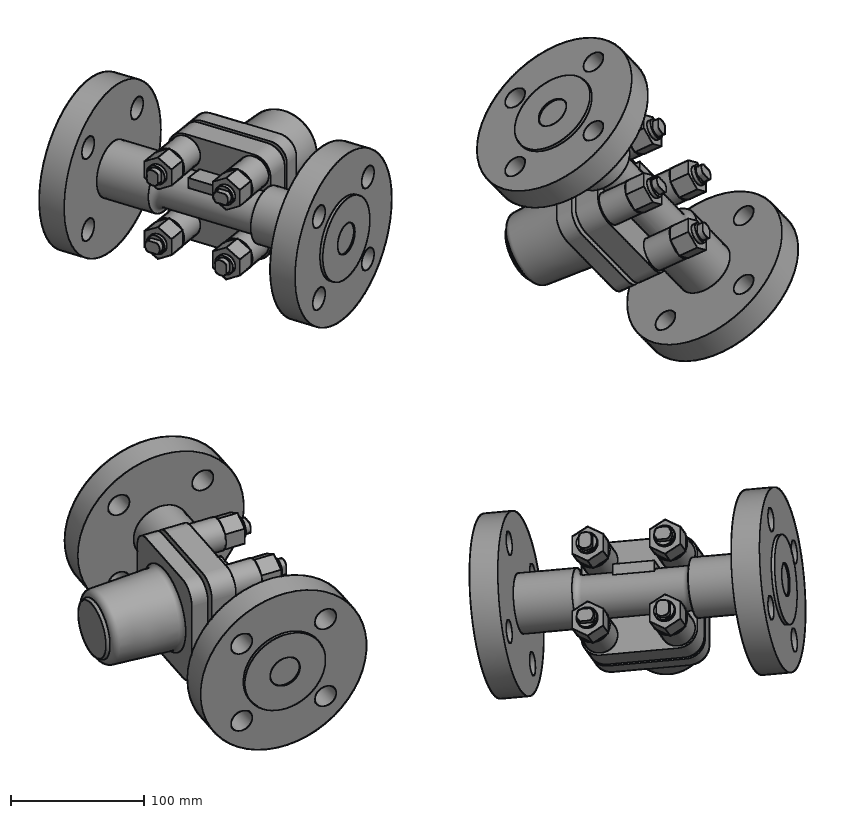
import cadquery as cq
import math


total_length = 230.0
flange_diameter = 140.0
flange_thickness = 22.0
raised_face_diameter = 68.0
raised_face_height = 2.5
bolt_circle_diameter = 100.0
flange_hole_diameter = 18.0
port_diameter = 25.0
port_depth = 1.2
pipe_diameter = 46.0

plate_size = 90.0
bolt_pitch = 60.0
plate_corner_radius = (plate_size - bolt_pitch) / 2
body_front_y = 5.8
body_back_y = 26.0
bonnet_front_y = 29.5
bonnet_back_y = 43.0
diaphragm_diameter = 64.9

channel_radius = 17.0
channel_flare_radius = 5.0

pad_length = 32.2
pad_top_z = 20.0
pad_front_y = -12.6
pad_back_y = 3.2

boss_diameter = 26.5
boss_end_y = -17.5
nut_across_flats = 24.0
nut_end_y = -33.8
stud_diameter = 15.9
stud_end_y = -37.0
tip_diameter = 12.9
tip_across_flats = 9.7
tip_corner_radius = 2.3
tip_end_y = -41.9

cap_base_radius = 35.0
cap_foot_radius = 32.5
cap_foot_y = 47.5
cap_shoulder_radius = 30.0
cap_shoulder_y = 96.0
cap_shoulder_round = 5.5
cap_crown_radius = 23.0
cap_top_y = 104.2

half_length = total_length / 2
half_plate = plate_size / 2


def x_cylinder(diameter, start_x, end_x):
    """Cylinder on the pipe axis."""
    return cq.Workplane("YZ", origin=(start_x, 0, 0)).circle(diameter / 2).extrude(end_x - start_x)


def section_at(start_y, x=0.0, z=0.0):
    """Sketch plane facing -Y, with sketch x along +X and sketch y along +Z."""
    return cq.Workplane("XZ", origin=(x, start_y, z))


def plate(front_y, back_y):
    """Square plate with rounded corners concentric with the studs."""
    block = section_at(back_y).rect(plate_size, plate_size).extrude(back_y - front_y)
    return block.edges("|Y").fillet(plate_corner_radius)


def pipe_end():
    """Pipe stub, flange and raised face on the -X side."""
    outer_face_x = -half_length
    flange_outer_x = outer_face_x + raised_face_height
    flange_inner_x = flange_outer_x + flange_thickness
    hole_pitch = bolt_circle_diameter / math.sqrt(2)

    bolt_holes = (
        cq.Workplane("YZ", origin=(flange_outer_x, 0, 0))
        .rect(hole_pitch, hole_pitch, forConstruction=True)
        .vertices()
        .circle(flange_hole_diameter / 2)
        .extrude(flange_thickness)
    )
    flange = x_cylinder(flange_diameter, flange_outer_x, flange_inner_x).cut(bolt_holes)
    raised_face = x_cylinder(raised_face_diameter, outer_face_x, flange_outer_x)
    pipe = x_cylinder(pipe_diameter, flange_outer_x, -half_plate)
    port = x_cylinder(port_diameter, outer_face_x, outer_face_x + port_depth)
    return flange.union(raised_face).union(pipe).cut(port)


def channel():
    """Round channel that flares with a concave arc at both ends."""
    flare = channel_flare_radius
    flare_x = half_plate - flare
    flare_rim = channel_radius + flare
    mid_x = flare_x + flare * math.sqrt(0.5)
    mid_radius = flare_rim - flare * math.sqrt(0.5)
    return (
        cq.Workplane("XY")
        .moveTo(-half_plate, 0)
        .lineTo(-half_plate, flare_rim)
        .threePointArc((-mid_x, mid_radius), (-flare_x, channel_radius))
        .lineTo(flare_x, channel_radius)
        .threePointArc((mid_x, mid_radius), (half_plate, flare_rim))
        .lineTo(half_plate, 0)
        .close()
        .revolve(360, (0, 0, 0), (1, 0, 0))
    )


def label_pad():
    """Flat-topped block on the upper side of the channel."""
    outline = section_at(pad_back_y).center(0, pad_top_z / 2).rect(pad_length, pad_top_z)
    return outline.extrude(pad_back_y - pad_front_y)


def stud_assembly(x, z, tip_angle):
    """Boss, hexagon nut and stud whose flattened tip is turned by tip_angle."""
    boss = section_at(body_back_y, x, z).circle(boss_diameter / 2).extrude(body_back_y - boss_end_y)
    nut = (
        section_at(boss_end_y, x, z)
        .transformed(rotate=(0, 0, 90))
        .polygon(6, nut_across_flats / math.cos(math.pi / 6))
        .extrude(boss_end_y - nut_end_y)
    )
    stud = section_at(nut_end_y, x, z).circle(stud_diameter / 2).extrude(nut_end_y - stud_end_y)
    tip_length = stud_end_y - tip_end_y
    flats = (
        section_at(stud_end_y, x, z)
        .transformed(rotate=(0, 0, tip_angle))
        .rect(tip_diameter, tip_across_flats)
        .extrude(tip_length)
    )
    tip = section_at(stud_end_y, x, z).circle(tip_diameter / 2).extrude(tip_length).intersect(flats)
    tip = tip.edges("|Y").fillet(tip_corner_radius)
    return boss.union(nut).union(stud).union(tip)


def bonnet_cap():
    """Tapered cap with a filleted foot, a rounded shoulder and a low crown."""
    foot_height = cap_foot_y - bonnet_back_y
    foot_width = cap_base_radius - cap_foot_radius
    crown_base_radius = cap_shoulder_radius - cap_shoulder_round
    crown_base_y = cap_shoulder_y + cap_shoulder_round
    diagonal = math.sqrt(0.5)
    foot_mid = (
        cap_base_radius - foot_width * diagonal,
        cap_foot_y - foot_height * diagonal,
    )
    shoulder_mid = (
        crown_base_radius + cap_shoulder_round * diagonal,
        cap_shoulder_y + cap_shoulder_round * diagonal,
    )
    return (
        cq.Workplane("XY")
        .moveTo(0, bonnet_front_y)
        .lineTo(cap_base_radius, bonnet_front_y)
        .lineTo(cap_base_radius, bonnet_back_y)
        .threePointArc(foot_mid, (cap_foot_radius, cap_foot_y))
        .lineTo(cap_shoulder_radius, cap_shoulder_y)
        .threePointArc(shoulder_mid, (crown_base_radius, crown_base_y))
        .lineTo(cap_crown_radius, cap_top_y)
        .lineTo(0, cap_top_y)
        .close()
        .revolve(360, (0, 0, 0), (0, 1, 0))
    )


result = plate(body_front_y, body_back_y).union(plate(bonnet_front_y, bonnet_back_y))
diaphragm = section_at(bonnet_front_y).circle(diaphragm_diameter / 2).extrude(bonnet_front_y - body_back_y)
result = result.union(diaphragm).union(bonnet_cap())

result = result.union(channel()).union(label_pad())

for x_side in (-1, 1):
    for z_side in (-1, 1):
        tip_angle = 0 if x_side == z_side else 90
        stud_x = x_side * bolt_pitch / 2
        stud_z = z_side * bolt_pitch / 2
        result = result.union(stud_assembly(stud_x, stud_z, tip_angle))

left_end = pipe_end()
result = result.union(left_end).union(left_end.mirror("YZ"))